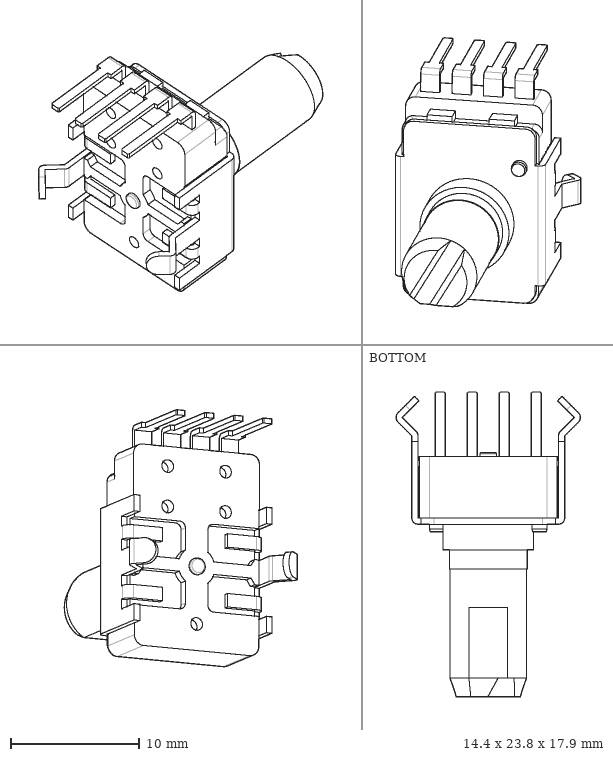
import cadquery as cq
import math


body_depth = 4.8
body_top = 9.35
body_bottom = -6.69
upper_half_width = 5.45
lower_half_width = 5.38
body_corner_radius = 0.79

ledge_depth = 1.3
ledge_z = 7.78
ledge_corner_radius = 0.65
block_top = 8.43
block_inner_x = 1.48
block_outer_x = 3.47

sheet = 0.5
plate_half_width = 5.24
plate_top = 8.0
plate_bottom = -6.52
plate_top_radius = 0.79
plate_bottom_radius = 1.0
plate_front = body_depth + sheet
arm_outer_x = 5.97
arm_inner_x = arm_outer_x - sheet
arm_half_height = 5.0
arm_edge_y = 1.15
prong_end_y = -1.17
prong_height = 1.3
leg_half_width = 1.0
leg_bend_y = -1.8
leg_span = 14.4
leg_foot_x = 5.4
tongue_center_z = 2.38
tongue_width = 1.07
tongue_end_x = 2.8
tongue_bend_radius = 0.67

pocket_depth = 0.79
pocket_inner_x = 0.98
pocket_outer_z = 3.5
pocket_inner_z = 0.5
pocket_corner_radius = 0.5
hub_relief_radius = 1.57
leg_relief_near_x = 4.7
leg_relief_far_x = 5.02

hole_diameter = 1.0
hole_depth = 1.0
upper_hole_x = 2.5
hole_positions = [
    (-upper_hole_x, 7.78),
    (upper_hole_x, 7.78),
    (-upper_hole_x, 4.57),
    (upper_hole_x, 4.57),
    (0, -4.57),
]
hub_diameter = 1.3
hub_height = 0.29
hub_fillet = 0.12

rivet_diameter = 1.2
rivet_height = 0.6
rivet_x = 4.0
rivet_z = 4.75
rivet_edge_width = 0.07
rivet_edge_height = 0.21

flange_diameter = 7.1
flange_end_y = 7.3
collar_diameter = 6.1
collar_end_y = 8.78
shaft_diameter = 6.0
shaft_end_y = 18.78
flat_start_y = 11.8
flat_z = -2.6
tip_length = 1.48
tip_inset = 0.5

slot_angle = 120
slot_floor_width = 1.25
slot_mouth_width = 2.17

pin_count = 4
pin_pitch = 2.5
pin_thickness = 0.4
pin_head_width = 1.5
pin_width = 0.8
pin_top = 11.2
pin_back_y = 2.21
pin_shoulder_y = 0.55
overall_length = 23.8
pin_end_y = shaft_end_y - overall_length
pin_tip_chamfer = 0.1


def box(x_range, y_range, z_range):
    """Axis-aligned box between the given limits."""
    size = [high - low for low, high in (x_range, y_range, z_range)]
    corner = (x_range[0], y_range[0], z_range[0])
    return cq.Workplane("XY").box(*size, centered=False).translate(corner)


def rod(diameter, y_start, y_end, x=0, z=0):
    """Cylinder along Y."""
    disc = cq.Workplane("XZ", origin=(x, y_start, z)).circle(diameter / 2)
    return disc.extrude(y_start - y_end)


def both_sides(shape):
    """The shape together with its mirror image across the YZ plane."""
    return shape.union(shape.mirror("YZ"))


def rounded_block(half_width):
    """Full-height body block with rounded corners."""
    block = box((-half_width, half_width), (0, body_depth), (body_bottom, body_top))
    return block.edges("|Y").fillet(body_corner_radius)


def make_body():
    """Body that is slightly wider above the arms, with the ledge and its raised blocks."""
    lower = rounded_block(lower_half_width)
    full_x = (-upper_half_width, upper_half_width)
    above_arms_z = (arm_half_height, body_top)
    upper = rounded_block(upper_half_width).intersect(box(full_x, (0, body_depth), above_arms_z))
    body = lower.union(upper)

    ledge_y = (body_depth - ledge_depth, body_depth)
    ledge = box(full_x, ledge_y, (0, ledge_z))
    ledge = ledge.edges("|Y and >Z").fillet(ledge_corner_radius)
    block_pair = both_sides(box((block_inner_x, block_outer_x), ledge_y, (0, block_top)))
    removed = box(full_x, ledge_y, above_arms_z).cut(ledge).cut(block_pair)
    return body.cut(removed)


def cut_rear_pockets(body):
    """Cut four mirrored pockets, open to the sides, into the rear face."""
    hub_relief_z = math.sqrt(hub_relief_radius**2 - pocket_inner_x**2)
    hub_relief_x = math.sqrt(hub_relief_radius**2 - pocket_inner_z**2)
    open_x = upper_half_width + 0.24
    pocket = (
        cq.Workplane("XZ")
        .moveTo(open_x, pocket_outer_z)
        .lineTo(pocket_inner_x + pocket_corner_radius, pocket_outer_z)
        .radiusArc((pocket_inner_x, pocket_outer_z - pocket_corner_radius), -pocket_corner_radius)
        .lineTo(pocket_inner_x, hub_relief_z)
        .radiusArc((hub_relief_x, pocket_inner_z), hub_relief_radius)
        .lineTo(leg_relief_near_x, pocket_inner_z)
        .lineTo(leg_relief_far_x, leg_half_width)
        .lineTo(open_x, leg_half_width)
        .close()
        .extrude(-pocket_depth)
    )
    right_pair = pocket.union(pocket.mirror("XY"))
    return body.cut(both_sides(right_pair))


def add_rear_details(body):
    """Blind holes and the rounded central hub on the rear face."""
    for x, z in hole_positions:
        body = body.cut(rod(hole_diameter, 0, hole_depth, x, z))
    hub = rod(hub_diameter, -hub_height, pocket_depth).faces("<Y").edges().fillet(hub_fillet)
    return body.union(hub)


def make_front_plate():
    """Plate on the front of the body with two diagonally opposite rivets."""
    plate = box(
        (-plate_half_width, plate_half_width), (body_depth, plate_front), (plate_bottom, plate_top)
    )
    plate = plate.edges("|Y and >Z").fillet(plate_top_radius)
    plate = plate.edges("|Y and <Z").fillet(plate_bottom_radius)
    for side in (-1, 1):
        rivet_end_y = plate_front + rivet_height
        rivet = rod(rivet_diameter, body_depth, rivet_end_y, side * rivet_x, -side * rivet_z)
        rivet = rivet.faces(">Y").chamfer(rivet_edge_height, rivet_edge_width)
        plate = plate.union(rivet)
    return plate


def make_snap_leg():
    """Leg running down the arm, out to a knee and back in, with a round end."""
    bend_shift = sheet * math.tan(math.radians(45 / 2))
    diagonal = sheet * math.sqrt(2)
    knee_x = leg_span / 2 - sheet
    knee_y = leg_bend_y - (knee_x - arm_inner_x)
    foot_y = knee_y - (knee_x - leg_foot_x)
    half_diagonal = diagonal / 2
    leg = (
        cq.Workplane("XY", origin=(0, 0, -leg_half_width))
        .moveTo(arm_inner_x, arm_edge_y)
        .lineTo(arm_inner_x, leg_bend_y)
        .lineTo(knee_x, knee_y)
        .lineTo(leg_foot_x, foot_y)
        .lineTo(leg_foot_x + half_diagonal, foot_y - half_diagonal)
        .lineTo(knee_x + diagonal, knee_y)
        .lineTo(arm_outer_x, leg_bend_y + bend_shift)
        .lineTo(arm_outer_x, arm_edge_y)
        .close()
        .extrude(2 * leg_half_width)
    )
    leg = leg.edges("|Z and >X").fillet(sheet)
    bend_edge = cq.selectors.NearestToPointSelector((arm_inner_x, leg_bend_y, 0))
    leg = leg.edges(bend_edge).fillet(sheet)

    foot_plane = cq.Plane(origin=(leg_foot_x, foot_y, 0), xDir=(0, 0, 1), normal=(1, -1, 0))
    round_end = cq.Workplane(foot_plane).center(0, -leg_half_width).circle(leg_half_width).extrude(sheet)
    foot_corners = (
        cq.Workplane(foot_plane)
        .center(0, -leg_half_width / 2)
        .rect(2 * leg_half_width, leg_half_width)
        .extrude(sheet)
        .cut(round_end)
    )
    return leg.cut(foot_corners)


def make_tongue(center_z):
    """Strip bent from the arm into a rear pocket, lying on the pocket floor."""
    outer_y = pocket_depth - sheet
    inner_radius = tongue_bend_radius - sheet
    bend_x = arm_outer_x - tongue_bend_radius
    bend_y = outer_y + tongue_bend_radius
    return (
        cq.Workplane("XY", origin=(0, 0, center_z - tongue_width / 2))
        .moveTo(tongue_end_x, outer_y)
        .lineTo(bend_x, outer_y)
        .radiusArc((arm_outer_x, bend_y), -tongue_bend_radius)
        .lineTo(arm_outer_x, arm_edge_y)
        .lineTo(arm_inner_x, arm_edge_y)
        .lineTo(arm_inner_x, bend_y)
        .radiusArc((bend_x, pocket_depth), inner_radius)
        .lineTo(tongue_end_x, pocket_depth)
        .close()
        .extrude(tongue_width)
    )


def make_arm():
    """Right-hand side arm with its strip of front plate, prongs, snap leg and tongues."""
    arm_z = (-arm_half_height, arm_half_height)
    arm = box((0, arm_outer_x), (arm_edge_y, plate_front), arm_z)
    arm = arm.edges(">X and >Y").fillet(sheet)
    arm = arm.cut(box((0, arm_inner_x), (arm_edge_y, body_depth), arm_z))
    arm = arm.union(make_snap_leg())
    prong_inner_z = arm_half_height - prong_height
    for low_z in (-arm_half_height, prong_inner_z):
        prong_z = (low_z, low_z + prong_height)
        prong = box((arm_inner_x, arm_outer_x), (prong_end_y, arm_edge_y), prong_z)
        arm = arm.union(prong)
    for center_z in (-tongue_center_z, tongue_center_z):
        arm = arm.union(make_tongue(center_z))
    return arm


def make_shaft():
    """Flange, collar and D-shaped shaft with a tapered, slotted tip."""
    radius = shaft_diameter / 2
    tip_start_y = shaft_end_y - tip_length
    shaft = (
        cq.Workplane("XY")
        .moveTo(0, body_depth)
        .lineTo(radius, body_depth)
        .lineTo(radius, tip_start_y)
        .lineTo(radius - tip_inset, shaft_end_y)
        .lineTo(0, shaft_end_y)
        .close()
        .revolve(360, (0, 0, 0), (0, 1, 0))
    )
    below_flat = (
        cq.Workplane("YZ")
        .moveTo(flat_start_y, flat_z)
        .lineTo(tip_start_y, flat_z)
        .lineTo(shaft_end_y, flat_z + tip_inset)
        .lineTo(shaft_end_y, -radius)
        .lineTo(flat_start_y, -radius)
        .close()
        .extrude(radius, both=True)
    )
    slot = (
        cq.Workplane("XY")
        .moveTo(-slot_floor_width / 2, tip_start_y)
        .lineTo(slot_floor_width / 2, tip_start_y)
        .lineTo(slot_mouth_width / 2, shaft_end_y)
        .lineTo(-slot_mouth_width / 2, shaft_end_y)
        .close()
        .extrude(radius, both=True)
        .rotate((0, 0, 0), (0, 1, 0), 90 - slot_angle)
    )
    shaft = shaft.cut(below_flat).cut(slot)
    shaft = shaft.union(rod(collar_diameter, body_depth, collar_end_y))
    return shaft.union(rod(flange_diameter, body_depth, flange_end_y))


def make_pin(x):
    """Pin rising from the body top and bent toward -Y, narrowing after its wide head."""
    half_head = pin_head_width / 2
    head_x = (x - half_head, x + half_head)
    head = box(head_x, (pin_shoulder_y, pin_back_y), (body_top, pin_top))
    head = head.edges(">Y and >Z").fillet(pin_thickness)
    space_y = (pin_shoulder_y, pin_back_y - pin_thickness)
    space_z = (body_top, pin_top - pin_thickness)
    head = head.cut(box(head_x, space_y, space_z))
    half_pin = pin_width / 2
    shank_z = (pin_top - pin_thickness, pin_top)
    shank = box((x - half_pin, x + half_pin), (pin_end_y, pin_shoulder_y), shank_z)
    shank = shank.faces("<Y").edges("|Z").chamfer(pin_tip_chamfer)
    return head.union(shank)


result = add_rear_details(cut_rear_pockets(make_body()))
result = result.union(make_front_plate())
result = result.union(both_sides(make_arm()))
result = result.union(make_shaft())
for index in range(pin_count):
    result = result.union(make_pin((index - (pin_count - 1) / 2) * pin_pitch))